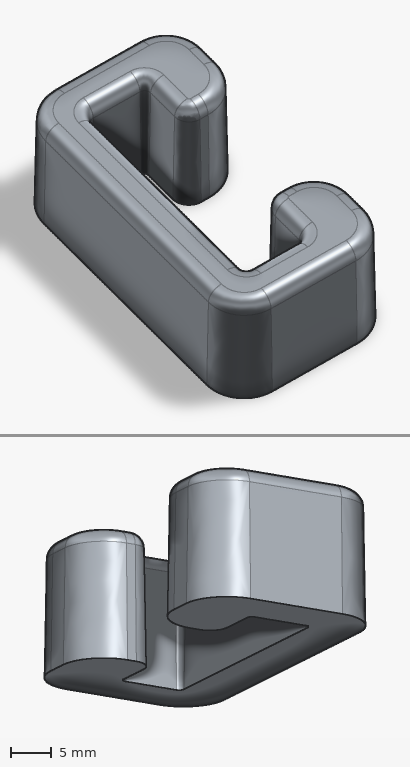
import cadquery as cq
import math

LENGTH = 44.5
DEPTH = 24.45
HEIGHT = 17.0

WALL = 6.5
HOOK_REACH = 14.5
HOOK_THICKNESS = 9.48
OUTER_RADIUS = 5.75
TIP_RADIUS = 2.5
INNER_RADIUS = 0.65

DRAFT_ANGLE = 1.0
TOP_FILLET = 2.0

HALF_LENGTH = LENGTH / 2
HALF_DEPTH = DEPTH / 2

RIGHT_CORNERS = [
    (HALF_LENGTH, -HALF_DEPTH, OUTER_RADIUS),
    (HALF_LENGTH, HALF_DEPTH, OUTER_RADIUS),
    (HALF_LENGTH - HOOK_REACH, HALF_DEPTH, OUTER_RADIUS),
    (HALF_LENGTH - HOOK_REACH, HALF_DEPTH - HOOK_THICKNESS, TIP_RADIUS),
    (HALF_LENGTH - WALL, HALF_DEPTH - HOOK_THICKNESS, INNER_RADIUS),
    (HALF_LENGTH - WALL, -HALF_DEPTH + WALL, INNER_RADIUS),
]


def toward(start, target, distance):
    """Point at a distance from start on the way to target."""
    length = math.dist(start, target)
    return tuple(s + (t - s) * distance / length for s, t in zip(start, target))


def rounded_outline(corners):
    """Closed outline through right-angled corners, each rounded with a tangent arc."""
    count = len(corners)
    outline = cq.Workplane("XY")
    for index, (x, y, radius) in enumerate(corners):
        corner = (x, y)
        before = toward(corner, corners[index - 1][:2], radius)
        after = toward(corner, corners[(index + 1) % count][:2], radius)
        chord_middle = tuple((b + a) / 2 for b, a in zip(before, after))
        arc_middle = toward(corner, chord_middle, radius * (math.sqrt(2) - 1))
        outline = outline.moveTo(*before) if index == 0 else outline.lineTo(*before)
        outline = outline.threePointArc(arc_middle, after)
    return outline.close()


def make_clip():
    """C-shaped clip with drafted walls and a rounded top edge."""
    left_corners = [(-x, y, radius) for x, y, radius in reversed(RIGHT_CORNERS)]
    clip = rounded_outline(RIGHT_CORNERS + left_corners).extrude(HEIGHT, taper=DRAFT_ANGLE)
    return clip.faces(">Z").edges().fillet(TOP_FILLET)


clip = make_clip()

result = cq.Compound.makeCompound([clip.val()])